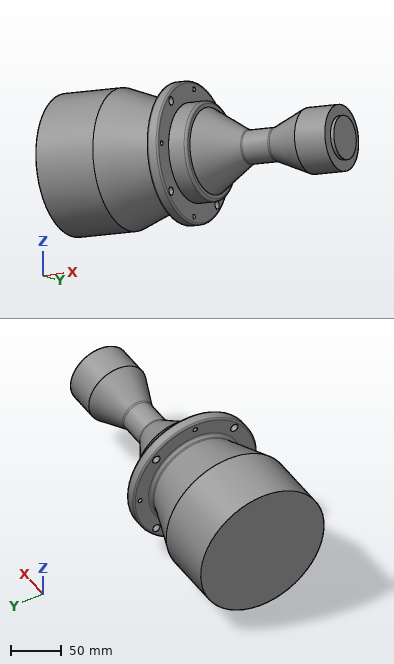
import cadquery as cq

length = 309.5
drum_end = 64.7
waist_start = 121.0
flange_start = 125.5
flange_end = 138.3
collar_end = 158.7
neck_start = 201.7
neck_end = 232.7
head_start = 271.3
head_end = 305.7

drum_diameter = 142.0
drum_radius = drum_diameter / 2
flange_radius = drum_radius
waist_radius = 50.7
collar_radius = 49.8
rear_cone_radius = 43.3
neck_radius = 17.0
head_radius = 33.0
end_disc_radius = 22.0

waist_blend = 6.2
flange_root_fillet = 3.0
flange_rim_fillet = 2.0
collar_fillet = 2.8
neck_front_blend = 2.5
neck_rear_blend = 5.3

bolt_circle_radius = 63.5
bolt_hole_diameter = 8.5
pin_hole_diameter = 4.5
hole_count = 4
bolt_start_angle = 45.0
pin_start_angle = 0.0


def turned_body():
    """Revolve the stepped half-profile about the X axis."""
    profile = [
        (0, 0),
        (0, drum_radius),
        (drum_end, drum_radius),
        (waist_start, waist_radius),
        (flange_start, waist_radius),
        (flange_start, flange_radius),
        (flange_end, flange_radius),
        (flange_end, collar_radius),
        (collar_end, collar_radius),
        (collar_end, rear_cone_radius),
        (neck_start, neck_radius),
        (neck_end, neck_radius),
        (head_start, head_radius),
        (head_end, head_radius),
        (head_end, end_disc_radius),
        (length, end_disc_radius),
        (length, 0),
    ]
    return cq.Workplane("XZ").polyline(profile).close().revolve(360, (0, 0, 0), (1, 0, 0))


def round_edge(body, station, radius, size):
    """Fillet the circular edge of the given radius at one X station."""
    reach = 0.03
    box = cq.selectors.BoxSelector(
        (station - reach, -radius - reach, -radius - reach),
        (station + reach, radius + reach, radius + reach),
        boundingbox=True,
    )
    rim = body.edges("%CIRCLE").edges(box).edges(cq.selectors.RadiusNthSelector(-1))
    return rim.fillet(size)


def flange_holes(diameter, start_angle):
    """Ring of cylinders that pass through the flange."""
    return (
        cq.Workplane("YZ", origin=(flange_start, 0, 0))
        .polarArray(bolt_circle_radius, start_angle, 360, hole_count)
        .circle(diameter / 2)
        .extrude(flange_end - flange_start)
    )


result = turned_body()
for station, radius, size in [
    (waist_start, waist_radius, waist_blend),
    (flange_start, waist_radius, flange_root_fillet),
    (flange_start, flange_radius, flange_rim_fillet),
    (flange_end, flange_radius, flange_rim_fillet),
    (collar_end, collar_radius, collar_fillet),
    (neck_start, neck_radius, neck_front_blend),
    (neck_end, neck_radius, neck_rear_blend),
]:
    result = round_edge(result, station, radius, size)

result = result.cut(flange_holes(bolt_hole_diameter, bolt_start_angle))
result = result.cut(flange_holes(pin_hole_diameter, pin_start_angle))